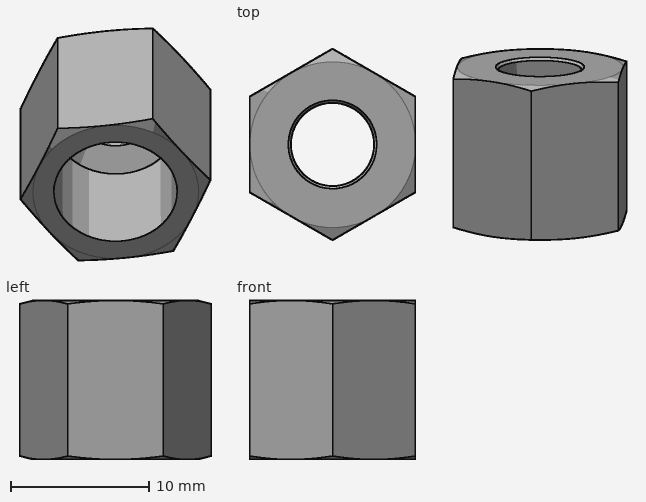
import cadquery as cq
import math

side_count = 6
width_across_flats = 12.0
height = 11.5
width_across_corners = width_across_flats / math.cos(math.pi / side_count)
corner_bevel_angle = 15.0

tube_hole_diameter = 6.0
tube_hole_chamfer = 0.2
tube_hole_depth = 1.85
bore_diameter = 8.92


def hexagonal_prism():
    prism = cq.Workplane("XY").polygon(side_count, width_across_corners).extrude(height)
    quarter_turn = 90
    return prism.rotate((0, 0, 0), (0, 0, 1), quarter_turn)


def bevel_envelope():
    """Round blank with conical ends that bevels the hexagon corners."""
    flat_radius = width_across_flats / 2
    corner_radius = width_across_corners / 2
    bevel_height = (corner_radius - flat_radius) * math.tan(math.radians(corner_bevel_angle))
    profile = (
        cq.Workplane("XZ")
        .moveTo(0, 0)
        .lineTo(flat_radius, 0)
        .lineTo(corner_radius, bevel_height)
        .lineTo(corner_radius, height - bevel_height)
        .lineTo(flat_radius, height)
        .lineTo(0, height)
        .close()
    )
    return profile.revolve(axisStart=(0, 0, 0), axisEnd=(0, 1, 0))


def stepped_bore():
    """Solid of revolution that is removed along the axis."""
    hole_radius = tube_hole_diameter / 2
    bore_radius = bore_diameter / 2
    cone_top = height - tube_hole_depth
    cone_bottom = cone_top - (bore_radius - hole_radius)
    profile = (
        cq.Workplane("XZ")
        .moveTo(0, 0)
        .lineTo(bore_radius, 0)
        .lineTo(bore_radius, cone_bottom)
        .lineTo(hole_radius, cone_top)
        .lineTo(hole_radius, height - tube_hole_chamfer)
        .lineTo(hole_radius + tube_hole_chamfer, height)
        .lineTo(0, height)
        .close()
    )
    return profile.revolve(axisStart=(0, 0, 0), axisEnd=(0, 1, 0))


result = hexagonal_prism().intersect(bevel_envelope()).cut(stepped_bore())